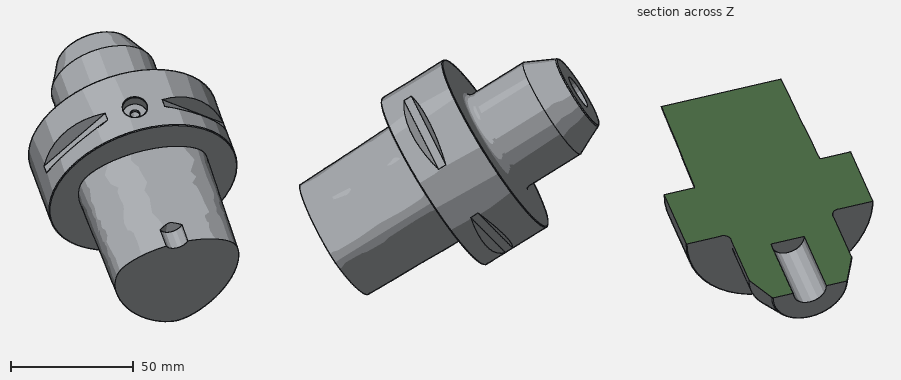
import cadquery as cq
import math

total_length = 118.0
nose_cone_end = 12.6
flange_start = 40.0
flange_end = 69.9
edge_chamfer = 0.4

nose_radius = 16.2
nose_chamfer = 0.5
neck_radius = 44.0 / 2
bore_diameter = 14.0
bore_depth = 29.5

relief_start = 35.9
relief_full = 37.0
relief_radius = 43.8 / 2
relief_depth = 0.1
relief_fillet = flange_start + relief_depth - relief_full
relief_outer_radius = 26.1

flange_radius = 80.0 / 2

shank_large_radius = 27.5
shank_small_radius = 26.3
lobe_height = 2.06
outline_points = 48

groove_x = 58.0
groove_floor_distance = 35.5
groove_floor_width = 3.5
groove_wall_angle = 30.0
groove_length = 2 * flange_radius
groove_clearance = 1.2

pocket_x = groove_x
pocket_diameter = 10.0
pocket_chamfer = 0.2
pocket_depth = 4.7
pilot_diameter = 4.0
pilot_depth = 1.2
pocket_rim_drop = 0.2

notch_diameter = 10.0
notch_length = 8.5
notch_axis_height = 26.1
drill_point_angle = 118.0


def drill_tip(diameter):
    """Length of the conical end left by a drill."""
    return diameter / 2 / math.tan(math.radians(drill_point_angle / 2))


def turned_body():
    """Nose, neck, relief and flange as one revolved profile."""
    fillet_center_radius = relief_radius + relief_fillet
    diagonal = relief_fillet * math.sqrt(0.5)
    return (
        cq.Workplane("XY")
        .moveTo(0, 0)
        .lineTo(0, nose_radius - nose_chamfer)
        .lineTo(nose_chamfer, nose_radius)
        .lineTo(nose_cone_end, neck_radius)
        .lineTo(relief_start, neck_radius)
        .lineTo(relief_full, relief_radius)
        .threePointArc(
            (relief_full + diagonal, fillet_center_radius - diagonal),
            (flange_start + relief_depth, fillet_center_radius),
        )
        .lineTo(flange_start, relief_outer_radius)
        .lineTo(flange_start, flange_radius - edge_chamfer)
        .lineTo(flange_start + edge_chamfer, flange_radius)
        .lineTo(flange_end - edge_chamfer, flange_radius)
        .lineTo(flange_end, flange_radius - edge_chamfer)
        .lineTo(flange_end, 0)
        .close()
        .revolve(360, (0, 0, 0), (1, 0, 0))
    )


def lobed_outline(mean_radius):
    """Points (y, z) of a constant-width three-lobed curve."""
    points = []
    for index in range(outline_points):
        angle = 2 * math.pi * index / outline_points
        down = mean_radius * math.cos(angle) + lobe_height * (2 * math.cos(2 * angle) - math.cos(4 * angle))
        side = mean_radius * math.sin(angle) - lobe_height * (2 * math.sin(2 * angle) + math.sin(4 * angle))
        points.append((side, -down))
    return points


def shank():
    """Tapered shank lofted between its two lobed ends."""
    return (
        cq.Workplane("YZ", origin=(flange_end, 0, 0))
        .spline(lobed_outline(shank_large_radius), periodic=True)
        .close()
        .workplane(offset=total_length - flange_end)
        .spline(lobed_outline(shank_small_radius), periodic=True)
        .close()
        .loft(ruled=True, combine=True)
    )


def gripper_groove(angle):
    """Cutter with sloping walls, turned about X by the given angle."""
    height = flange_radius - groove_floor_distance + groove_clearance
    half_floor = groove_floor_width / 2
    half_top = half_floor + height * math.tan(math.radians(groove_wall_angle))
    top = groove_floor_distance + height
    return (
        cq.Workplane("XZ")
        .polyline([
            (groove_x - half_floor, groove_floor_distance),
            (groove_x + half_floor, groove_floor_distance),
            (groove_x + half_top, top),
            (groove_x - half_top, top),
        ])
        .close()
        .extrude(groove_length / 2, both=True)
        .rotate((0, 0, 0), (1, 0, 0), angle)
    )


def top_pocket():
    """Chamfered pocket with a small drilled hole in its floor."""
    radius = pocket_diameter / 2
    pilot_radius = pilot_diameter / 2
    floor = flange_radius - pocket_depth
    rim = flange_radius - pocket_rim_drop
    pilot_floor = floor - pilot_depth
    return (
        cq.Workplane("XZ")
        .polyline([
            (0, pilot_floor - drill_tip(pilot_diameter)),
            (pilot_radius, pilot_floor),
            (pilot_radius, floor),
            (radius, floor),
            (radius, rim - pocket_chamfer),
            (radius + pocket_chamfer, rim),
            (radius + pocket_chamfer, flange_radius),
            (0, flange_radius),
        ])
        .close()
        .revolve(360, (0, 0, 0), (0, 1, 0))
        .translate((pocket_x, 0, 0))
    )


def shank_notch():
    """Drill-shaped cutter lying along X, open at the shank end."""
    start = total_length - notch_length
    radius = notch_diameter / 2
    return (
        cq.Workplane("XY")
        .polyline([
            (start - drill_tip(notch_diameter), 0),
            (start, radius),
            (total_length, radius),
            (total_length, 0),
        ])
        .close()
        .revolve(360, (0, 0, 0), (1, 0, 0))
        .translate((0, 0, notch_axis_height))
    )


nose_bore = cq.Workplane("YZ").circle(bore_diameter / 2).extrude(bore_depth)

result = turned_body().union(shank()).cut(nose_bore).cut(top_pocket()).cut(shank_notch())
for groove_angle in (45, 135, 225, 315):
    result = result.cut(gripper_groove(groove_angle))